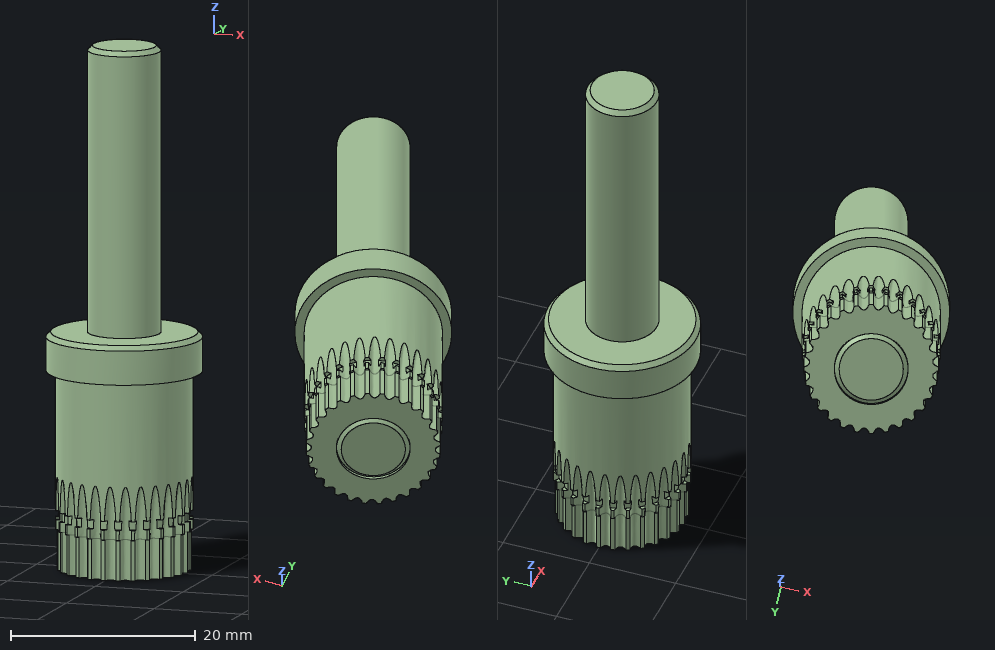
import cadquery as cq
import math

TOTAL_LENGTH = 57.85
PIN_RADIUS = 4.0
PIN_CHAMFER = 0.5
PIN_PROJECTION = 0.1

FLANGE_RADIUS = 8.5
FLANGE_TOP = 26.25
FLANGE_THICKNESS = 4.3
FLANGE_CHAMFER = 0.5
BARREL_DIAMETER = 15.0
GROOVE_RADIUS = 7.05
GROOVE_BOTTOM = 5.7
GROOVE_TOP = 6.7
TIP_RADIUS = 7.3
TIP_TOP = 4.6

FLUTE_COUNT = 28
FLUTE_FLOOR_RADIUS = 6.7
FLUTE_MOUTH_WIDTH = 1.4
FLUTE_END = 10.5

BARREL_RADIUS = BARREL_DIAMETER / 2
FLANGE_BOTTOM = FLANGE_TOP - FLANGE_THICKNESS
FLUTE_PITCH = 360 / FLUTE_COUNT
FLUTE_DEPTH = BARREL_RADIUS - FLUTE_FLOOR_RADIUS
RUNOUT_LENGTH = FLUTE_END - TIP_TOP
CUTTER_RADIUS = (RUNOUT_LENGTH**2 + FLUTE_DEPTH**2) / (2 * FLUTE_DEPTH)


def make_pin():
    return (
        cq.Workplane("XY")
        .circle(PIN_RADIUS)
        .extrude(TOTAL_LENGTH)
        .faces("<Z or >Z")
        .chamfer(PIN_CHAMFER)
    )


def make_hub_blank():
    """Turned sleeve with flange, groove and stepped tip, bored for the pin."""
    half_section = [
        (PIN_RADIUS, PIN_PROJECTION),
        (TIP_RADIUS, PIN_PROJECTION),
        (TIP_RADIUS, TIP_TOP),
        (BARREL_RADIUS, TIP_TOP),
        (BARREL_RADIUS, GROOVE_BOTTOM),
        (GROOVE_RADIUS, GROOVE_BOTTOM),
        (GROOVE_RADIUS, GROOVE_TOP),
        (BARREL_RADIUS, GROOVE_TOP),
        (BARREL_RADIUS, FLANGE_BOTTOM),
        (FLANGE_RADIUS, FLANGE_BOTTOM),
        (FLANGE_RADIUS, FLANGE_TOP - FLANGE_CHAMFER),
        (FLANGE_RADIUS - FLANGE_CHAMFER, FLANGE_TOP),
        (PIN_RADIUS, FLANGE_TOP),
    ]
    return cq.Workplane("XZ").polyline(half_section).close().revolve(360, (0, 0, 0), (0, 1, 0))


def flute_profile():
    """Parabola at the start of the run-out, lying across the +X direction.

    It is closed by a chord outside the barrel, at twice the flute depth.
    """
    chord_x = FLUTE_FLOOR_RADIUS + 2 * FLUTE_DEPTH
    chord_end_y = math.sqrt(2) * FLUTE_MOUTH_WIDTH / 2
    control_x = FLUTE_FLOOR_RADIUS - 2 * FLUTE_DEPTH
    return (
        cq.Workplane("XY", origin=(0, 0, TIP_TOP))
        .moveTo(chord_x, chord_end_y)
        .lineTo(chord_x, -chord_end_y)
        .bezier([(control_x, 0), (chord_x, chord_end_y)], includeCurrent=True)
        .close()
    )


def make_flute_cutter():
    """One flute at +X: straight up to the tip step, then curving outwards."""
    straight = flute_profile().extrude(-TIP_TOP)
    axis_radius = FLUTE_FLOOR_RADIUS + CUTTER_RADIUS
    runout = flute_profile().revolve(90, (axis_radius, 0, 0), (axis_radius, 1, 0))
    return straight.union(runout)


def make_hub():
    hub = make_hub_blank()
    cutter = make_flute_cutter()
    for index in range(FLUTE_COUNT):
        angle = (index + 0.5) * FLUTE_PITCH
        hub = hub.cut(cutter.rotate((0, 0, 0), (0, 0, 1), angle))
    return hub


pin = make_pin()
hub = make_hub()

result = cq.Compound.makeCompound([pin.val(), hub.val()])